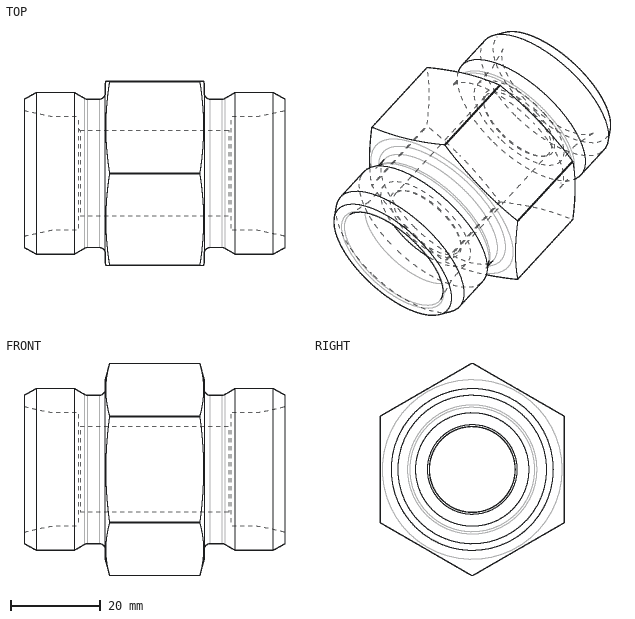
import cadquery as cq
import math

length = 58.0
half_length = length / 2

across_flats = 41.0
corner_diameter = 47.2
hex_width = 22.05
hex_face_diameter = 39.95
hex_chamfer_angle = 15.0

thread_diameter = 36.0
neck_diameter = 33.05
end_diameter = 33.05
end_chamfer_length = 2.65
thread_end_depth = 11.15
runout_angle = 30.0
runout_fillet = 1.15
neck_fillet = 1.3

bore_diameter = 19.0
bore_edge_chamfer = 0.45
socket_diameter = 25.25
socket_depth = 12.0
cone_diameter = 27.9
cone_half_angle = 12.0
mouth_fillet = 0.5


def rise(run, angle):
    return run * math.tan(math.radians(angle))


def revolve_about_x(points):
    """Turn an (axial position, radius) outline about the X axis."""
    return cq.Workplane("XY").polyline(points).close().revolve(360, (0, 0, 0), (1, 0, 0))


def make_hexagon():
    """Hexagon with corners up and down and turned chamfers on both faces."""
    half_width = hex_width / 2
    face_radius = hex_face_diameter / 2
    corner_radius = corner_diameter / 2
    chamfer_length = rise(corner_radius - face_radius, hex_chamfer_angle)
    prism = (
        cq.Workplane("YZ")
        .polygon(6, across_flats / math.cos(math.pi / 6))
        .extrude(half_width, both=True)
        .rotate((0, 0, 0), (1, 0, 0), 90)
    )
    envelope = revolve_about_x([
        (-half_width, 0),
        (-half_width, face_radius),
        (-half_width + chamfer_length, corner_radius),
        (half_width - chamfer_length, corner_radius),
        (half_width, face_radius),
        (half_width, 0),
    ])
    return prism.intersect(envelope)


def make_threaded_end():
    """Left end: chamfered thread cylinder, run-out cone and filleted neck."""
    thread_radius = thread_diameter / 2
    neck_radius = neck_diameter / 2
    hex_face = -hex_width / 2
    thread_end = -half_length + thread_end_depth
    angle = math.radians(runout_angle)

    arc_start_radius = neck_radius + runout_fillet * (1 - math.cos(angle))
    arc_start = thread_end + (thread_radius - arc_start_radius) / math.tan(angle)
    arc_end = arc_start + runout_fillet * math.sin(angle)
    arc_middle = (
        arc_end - runout_fillet * math.sin(angle / 2),
        neck_radius + runout_fillet * (1 - math.cos(angle / 2)),
    )
    fillet_middle = (
        hex_face - neck_fillet * (1 - math.sin(math.pi / 4)),
        neck_radius + neck_fillet * (1 - math.cos(math.pi / 4)),
    )
    return (
        cq.Workplane("XY")
        .moveTo(-half_length, 0)
        .lineTo(-half_length, end_diameter / 2)
        .lineTo(-half_length + end_chamfer_length, thread_radius)
        .lineTo(thread_end, thread_radius)
        .lineTo(arc_start, arc_start_radius)
        .threePointArc(arc_middle, (arc_end, neck_radius))
        .lineTo(hex_face - neck_fillet, neck_radius)
        .threePointArc(fillet_middle, (hex_face, neck_radius + neck_fillet))
        .lineTo(0, neck_radius + neck_fillet)
        .lineTo(0, 0)
        .close()
        .revolve(360, (0, 0, 0), (1, 0, 0))
    )


def make_half_bore():
    """Left half of the bore: rounded mouth, taper, socket and through bore."""
    bore_radius = bore_diameter / 2
    socket_radius = socket_diameter / 2
    cone_radius = cone_diameter / 2
    taper = math.radians(cone_half_angle)
    cone_end = -half_length + (cone_radius - socket_radius) / math.tan(taper)
    socket_floor = -half_length + socket_depth

    tangent_length = mouth_fillet * math.tan((math.pi / 2 - taper) / 2)
    mouth_radius = cone_radius + tangent_length
    center_x = -half_length + mouth_fillet
    middle_angle = (math.pi / 2 + taper) / 2
    arc_middle = (
        center_x - mouth_fillet * math.sin(middle_angle),
        mouth_radius - mouth_fillet * math.cos(middle_angle),
    )
    arc_end = (
        -half_length + tangent_length * math.cos(taper),
        cone_radius - tangent_length * math.sin(taper),
    )
    return (
        cq.Workplane("XY")
        .moveTo(-half_length, 0)
        .lineTo(-half_length, mouth_radius)
        .threePointArc(arc_middle, arc_end)
        .lineTo(cone_end, socket_radius)
        .lineTo(socket_floor, socket_radius)
        .lineTo(socket_floor, bore_radius + bore_edge_chamfer)
        .lineTo(socket_floor + bore_edge_chamfer, bore_radius)
        .lineTo(0, bore_radius)
        .lineTo(0, 0)
        .close()
        .revolve(360, (0, 0, 0), (1, 0, 0))
    )


threaded_end = make_threaded_end()
half_bore = make_half_bore()
result = (
    make_hexagon()
    .union(threaded_end)
    .union(threaded_end.mirror("YZ"))
    .cut(half_bore)
    .cut(half_bore.mirror("YZ"))
)